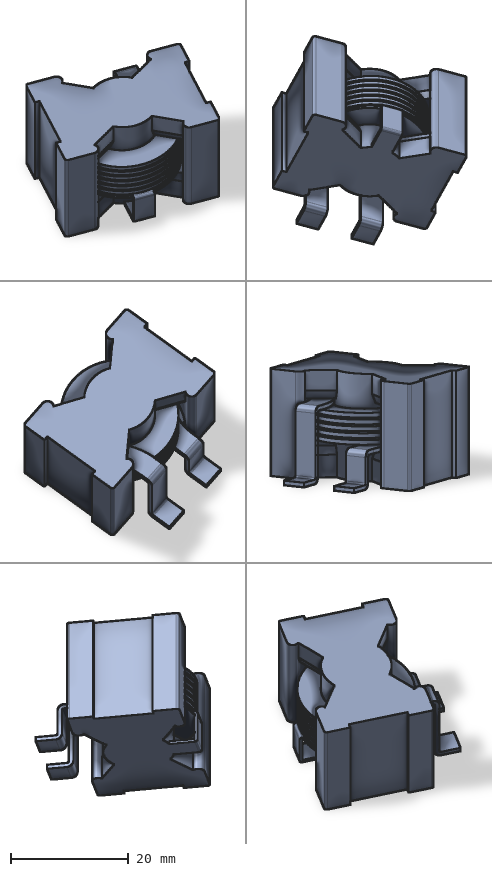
import cadquery as cq
import math

CORE_LENGTH = 28.0
CORE_WIDTH = 19.4
CORE_HEIGHT = 18.5
CORNER_RADIUS = 0.5
SIDE_RECESS_WIDTH = 10.3
SIDE_RECESS_DEPTH = 0.8
POST_RADIUS = 12.0 / 2
LOBE_RADIUS = 1.05
LOBE_TIP_Y = 7.73
NECK_Y = 3.5

WINDOW_BOTTOM = 5.4
WINDOW_TOP = 13.52
PLATE_CHAMFER_HEIGHT = 1.48
PLATE_CHAMFER_INSET = 0.53

BRACKET_THICKNESS = 0.53
BRACKET_TAB_WIDTH = 3.78
BRACKET_REACH = 10.58
BRACKET_BEND_RADIUS = 0.5

STRIP_WIDTH = 3.98
STRIP_THICKNESS = 0.8
COIL_CLEARANCE = 0.03
FULL_TURNS = 5
LOWER_LEAD_BOTTOM = WINDOW_BOTTOM + BRACKET_THICKNESS
UPPER_LEAD_TOP = 13.4
LEAD_Y = 5.0
LEAD_STRAIGHT_X = 10.15
LEAD_DROP_X = 12.65
FOOT_TIP_X = 16.4
FOOT_BOTTOM = 0.08
BEND_INNER_RADIUS = 0.3

half_width = CORE_WIDTH / 2
half_length = CORE_LENGTH / 2
neck_x = math.sqrt(POST_RADIUS**2 - NECK_Y**2)
lobe_x = half_width - LOBE_RADIUS
lobe_y = LOBE_TIP_Y + LOBE_RADIUS
lobe_distance = math.hypot(lobe_x, lobe_y)
window_radius = lobe_distance - LOBE_RADIUS
waist_x = lobe_x * window_radius / lobe_distance
waist_y = lobe_y * window_radius / lobe_distance

coil_inner = POST_RADIUS + COIL_CLEARANCE
coil_outer = coil_inner + STRIP_WIDTH
coil_mean = (coil_inner + coil_outer) / 2
lead_bend = (LEAD_STRAIGHT_X**2 + LEAD_Y**2 - coil_mean**2) / (2 * (coil_mean - LEAD_Y))
lead_bend_y = LEAD_Y + lead_bend
join_angle = math.degrees(math.atan2(lead_bend_y, -LEAD_STRAIGHT_X))


def cylinder(radius, bottom, top):
    return cq.Workplane("XY").workplane(offset=bottom).circle(radius).extrude(top - bottom)


def core_outline():
    """Waisted plan outline with round lobes and the post bulging at the waist."""
    def waist_side(outline, s):
        return (
            outline.lineTo(s * half_width, -s * lobe_y)
            .threePointArc((s * lobe_x, -s * LOBE_TIP_Y), (s * waist_x, -s * waist_y))
            .lineTo(s * neck_x, -s * NECK_Y)
            .threePointArc((s * POST_RADIUS, 0), (s * neck_x, s * NECK_Y))
            .lineTo(s * waist_x, s * waist_y)
            .threePointArc((s * lobe_x, s * LOBE_TIP_Y), (s * half_width, s * lobe_y))
            .lineTo(s * half_width, s * half_length)
        )

    outline = cq.Workplane("XY").moveTo(half_width, -half_length)
    outline = waist_side(outline, 1)
    outline = outline.lineTo(-half_width, half_length)
    outline = waist_side(outline, -1)
    return outline.close()


def plate_chamfers():
    """Wedges that bevel the waist edges of both plates where they face the window."""
    run_x = waist_x - neck_x
    run_y = waist_y - NECK_Y
    run = math.hypot(run_x, run_y)
    overrun = POST_RADIUS / 4
    inward = (-run_y / run, run_x / run, 0)
    along = (run_x / run, run_y / run, 0)
    start = (neck_x - along[0] * overrun, NECK_Y - along[1] * overrun, 0)
    frame = cq.Plane(origin=start, xDir=inward, normal=along)
    up = frame.yDir.z
    wedges = cq.Workplane("XY")
    for face_z, rise in ((WINDOW_TOP, PLATE_CHAMFER_HEIGHT), (WINDOW_BOTTOM, -PLATE_CHAMFER_HEIGHT)):
        wedge = (
            cq.Workplane(frame)
            .polyline([(0, up * face_z), (PLATE_CHAMFER_INSET, up * face_z), (0, up * (face_z + rise))])
            .close()
            .extrude(run + 2 * overrun)
        )
        wedges = wedges.add(wedge).add(wedge.mirror("YZ"))
        wedges = wedges.add(wedge.mirror("XZ")).add(wedge.mirror("XZ").mirror("YZ"))
    ring = cylinder(window_radius, 0, CORE_HEIGHT).cut(cylinder(POST_RADIUS, 0, CORE_HEIGHT))
    return wedges.combine().intersect(ring)


def bracket():
    """Half ring under the coil with a tab folded down on +X and back to the post."""
    ring = cylinder(coil_outer, WINDOW_BOTTOM, LOWER_LEAD_BOTTOM)
    plus_x_half = cq.Workplane("XY").box(
        coil_outer, 2 * coil_outer, CORE_HEIGHT, centered=(False, True, False)
    )
    tab = (
        cq.Workplane("XY")
        .box(BRACKET_REACH, BRACKET_TAB_WIDTH, LOWER_LEAD_BOTTOM, centered=(False, True, False))
        .edges(">X and |Y")
        .fillet(BRACKET_BEND_RADIUS)
    )
    opening = (
        cq.Workplane("XY")
        .workplane(offset=BRACKET_THICKNESS)
        .box(
            BRACKET_REACH - BRACKET_THICKNESS,
            BRACKET_TAB_WIDTH,
            LOWER_LEAD_BOTTOM - 2 * BRACKET_THICKNESS,
            centered=(False, True, False),
        )
    )
    return ring.intersect(plus_x_half).union(tab.cut(opening))


def make_core():
    core = core_outline().extrude(CORE_HEIGHT)
    core = core.edges("|Z and (<Y or >Y)").fillet(CORNER_RADIUS)
    for side in (-1, 1):
        recess = cq.Workplane("XY").box(
            SIDE_RECESS_WIDTH, 2 * SIDE_RECESS_DEPTH, CORE_HEIGHT, centered=(True, True, False)
        )
        core = core.cut(recess.translate((0, side * half_length, 0)))
    window = cylinder(window_radius, WINDOW_BOTTOM, WINDOW_TOP)
    window = window.cut(cylinder(POST_RADIUS, WINDOW_BOTTOM, WINDOW_TOP))
    return core.cut(window).cut(plate_chamfers()).union(bracket())


def winding(bottom_z, top_z):
    """Helical strip between the centre heights of the two leads."""
    turns = FULL_TURNS + 2 * join_angle / 360
    rise = top_z - bottom_z
    helix = cq.Wire.makeHelix(rise / turns, rise, coil_mean)
    strip = (
        cq.Workplane("XZ")
        .center(coil_mean, 0)
        .rect(STRIP_WIDTH, STRIP_THICKNESS)
        .sweep(cq.Workplane(helix), isFrenet=True)
    )
    return strip.rotate((0, 0, 0), (0, 0, 1), -join_angle).translate((0, 0, bottom_z))


def lead_curve(center_z):
    """Flat arc, on the +Y side, from the straight lead to its tangent join with the coil."""
    sweep_angle = join_angle - 90
    section = cq.Workplane("YZ").rect(STRIP_WIDTH, STRIP_THICKNESS)
    arc = section.revolve(sweep_angle, (lead_bend, 0, 0), (lead_bend, 1, 0))
    return arc.translate((-LEAD_STRAIGHT_X, LEAD_Y, center_z))


def lead_strip(center_z):
    """Straight lead bent down to a foot, on the +Y side."""
    bend = BEND_INNER_RADIUS + STRIP_THICKNESS / 2
    drop_x = -LEAD_DROP_X + STRIP_THICKNESS / 2
    foot_z = FOOT_BOTTOM + STRIP_THICKNESS / 2
    path = (
        cq.Workplane("XZ", origin=(0, LEAD_Y, 0))
        .moveTo(-LEAD_STRAIGHT_X, center_z)
        .lineTo(drop_x + bend, center_z)
        .radiusArc((drop_x, center_z - bend), -bend)
        .lineTo(drop_x, foot_z + bend)
        .radiusArc((drop_x - bend, foot_z), bend)
        .lineTo(-FOOT_TIP_X, foot_z)
    )
    section = cq.Workplane("YZ", origin=(-LEAD_STRAIGHT_X, LEAD_Y, center_z))
    return section.rect(STRIP_WIDTH, STRIP_THICKNESS).sweep(path)


def lead(center_z):
    return lead_strip(center_z).union(lead_curve(center_z))


def make_coil():
    lower_z = LOWER_LEAD_BOTTOM + STRIP_THICKNESS / 2
    upper_z = UPPER_LEAD_TOP - STRIP_THICKNESS / 2
    return winding(lower_z, upper_z).union(lead(upper_z)).union(lead(lower_z).mirror("XZ"))


core = make_core()
coil = make_coil()
result = cq.Compound.makeCompound([core.val(), coil.val()])